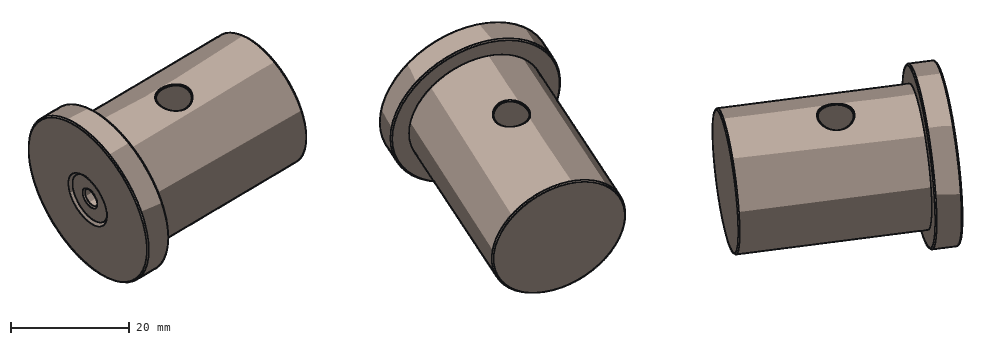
import cadquery as cq
import math

total_length = 38.0
flange_diameter = 31.75
flange_thickness = 4.75
shank_diameter = 25.0
edge_chamfer = 0.25

cross_hole_diameter = 6.0
cross_hole_mouth_diameter = 6.4
cross_hole_y = total_length / 2

recess_mouth_diameter = 10.2
recess_floor_diameter = 9.2
recess_depth = 0.5

pilot_diameter = 3.3
pilot_mouth_diameter = 3.9
pilot_depth = 8.0
drill_point_angle = 118.0


def make_body():
    """Flange and shank, with their outer rims chamfered."""
    flange_radius = flange_diameter / 2
    shank_radius = shank_diameter / 2
    return (
        cq.Workplane("XY")
        .moveTo(0, 0)
        .lineTo(flange_radius - edge_chamfer, 0)
        .lineTo(flange_radius, edge_chamfer)
        .lineTo(flange_radius, flange_thickness - edge_chamfer)
        .lineTo(flange_radius - edge_chamfer, flange_thickness)
        .lineTo(shank_radius, flange_thickness)
        .lineTo(shank_radius, total_length - edge_chamfer)
        .lineTo(shank_radius - edge_chamfer, total_length)
        .lineTo(0, total_length)
        .close()
        .revolve(360, (0, 0, 0), (0, 1, 0))
    )


def make_axial_cutter():
    """Tapered recess, then the countersunk pilot hole with its drill point."""
    pilot_radius = pilot_diameter / 2
    pilot_mouth_radius = pilot_mouth_diameter / 2
    countersink_end = recess_depth + pilot_mouth_radius - pilot_radius
    pilot_end = recess_depth + pilot_depth
    point_length = pilot_radius / math.tan(math.radians(drill_point_angle / 2))
    return (
        cq.Workplane("XY")
        .moveTo(0, 0)
        .lineTo(recess_mouth_diameter / 2, 0)
        .lineTo(recess_floor_diameter / 2, recess_depth)
        .lineTo(pilot_mouth_radius, recess_depth)
        .lineTo(pilot_radius, countersink_end)
        .lineTo(pilot_radius, pilot_end)
        .lineTo(0, pilot_end + point_length)
        .close()
        .revolve(360, (0, 0, 0), (0, 1, 0))
    )


def cut_cross_hole(body):
    """Drill through the shank along Z and chamfer the two mouths."""
    cross_hole = (
        cq.Workplane("XY")
        .center(0, cross_hole_y)
        .circle(cross_hole_diameter / 2)
        .extrude(shank_diameter, both=True)
    )
    drilled = body.cut(cross_hole)
    mouth_chamfer = (cross_hole_mouth_diameter - cross_hole_diameter) / 2
    mouth_reach = cross_hole_mouth_diameter / 2
    hole_zone = cq.selectors.BoxSelector(
        (-mouth_reach, cross_hole_y - mouth_reach, -shank_diameter),
        (mouth_reach, cross_hole_y + mouth_reach, shank_diameter),
        boundingbox=True,
    )
    mouth_edges = drilled.edges(hole_zone).edges("not |Z")
    return mouth_edges.chamfer(mouth_chamfer)


result = cut_cross_hole(make_body()).cut(make_axial_cutter())